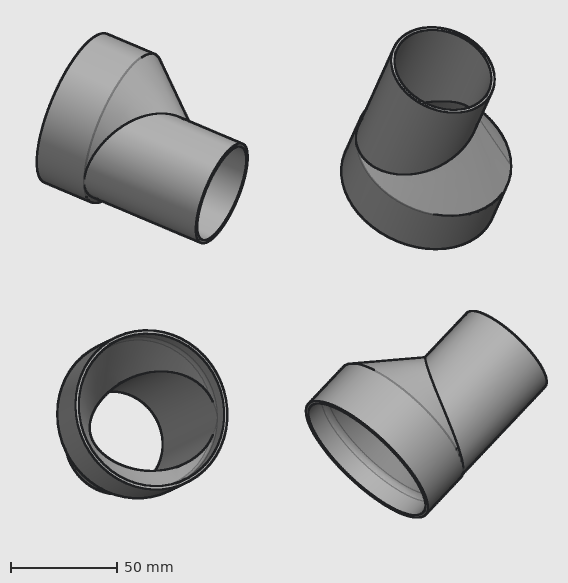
import cadquery as cq
import math

total_length = 85.7
large_diameter = 76.2
large_bore = 72.9
small_diameter = 50.8
small_bore = 47.5
large_length = 25.6
cone_angle = 39.3
outer_bend_radius = 0.7

large_bore_length = 11.15
inner_cone_angle = 30.0
inner_bend_radius = 6.9

tube_offset = (small_diameter - large_diameter) / 2


def bend_tangent_length(angle, bend_radius):
    """Distance along the cylinder from the start of the bend to the sharp corner."""
    return bend_radius * math.tan(math.radians(angle) / 2)


def cylinder_and_cone(diameter, corner_x, angle, bend_radius):
    """Solid of revolution: a cylinder from x = 0, a rounded bend and a full cone."""
    radius = diameter / 2
    half_angle = math.radians(angle)
    bend_start_x = corner_x - bend_tangent_length(angle, bend_radius)
    bend_center_r = radius - bend_radius

    def bend_point(turn):
        return (bend_start_x + bend_radius * math.sin(turn), bend_center_r + bend_radius * math.cos(turn))

    apex_x = corner_x + radius / math.tan(half_angle)
    profile = (
        cq.Workplane("XY")
        .moveTo(0, 0)
        .lineTo(0, radius)
        .lineTo(bend_start_x, radius)
        .threePointArc(bend_point(half_angle / 2), bend_point(half_angle))
        .lineTo(apex_x, 0)
        .close()
    )
    return profile.revolve(360, (0, 0, 0), (1, 0, 0))


def offset_tube(diameter, start_x):
    """Solid cylinder on the small tube's axis, from start_x to the far end."""
    return (
        cq.Workplane("YZ", origin=(start_x, tube_offset, 0))
        .circle(diameter / 2)
        .extrude(total_length - start_x)
    )


def reducer_body(diameter, tube_diameter, corner_x, angle, bend_radius):
    """Cylinder and cone joined to the offset tube, as one solid."""
    tube_start_x = corner_x - bend_tangent_length(angle, bend_radius)
    body = cylinder_and_cone(diameter, corner_x, angle, bend_radius)
    return body.union(offset_tube(tube_diameter, tube_start_x))


outside = reducer_body(large_diameter, small_diameter, large_length, cone_angle, outer_bend_radius)
inside = reducer_body(large_bore, small_bore, large_bore_length, inner_cone_angle, inner_bend_radius)

result = outside.cut(inside)